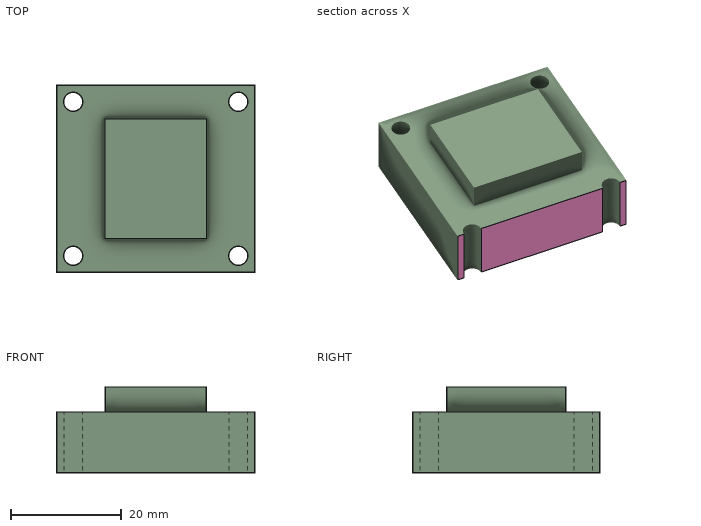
import cadquery as cq

base_length = 35.8
base_width = 33.8
base_height = 11.0

overall_height = 15.5
block_length = 18.25
block_width = 21.55
block_height = overall_height - base_height

hole_diameter = 3.4
hole_inset = 3.0
hole_spacing_x = base_length - 2 * hole_inset
hole_spacing_y = base_width - 2 * hole_inset


def make_base():
    """Rectangular base with a through hole near each corner."""
    plate = cq.Workplane("XY").box(base_length, base_width, base_height, centered=(True, True, False))
    return (
        plate.faces(">Z")
        .workplane()
        .rect(hole_spacing_x, hole_spacing_y, forConstruction=True)
        .vertices()
        .hole(hole_diameter)
    )


def make_raised_block():
    """Plain rectangular block resting on the top face of the base."""
    return (
        cq.Workplane("XY")
        .workplane(offset=base_height)
        .box(block_length, block_width, block_height, centered=(True, True, False))
    )


base = make_base()
raised_block = make_raised_block()

result = cq.Compound.makeCompound([base.solids().val(), raised_block.val()])